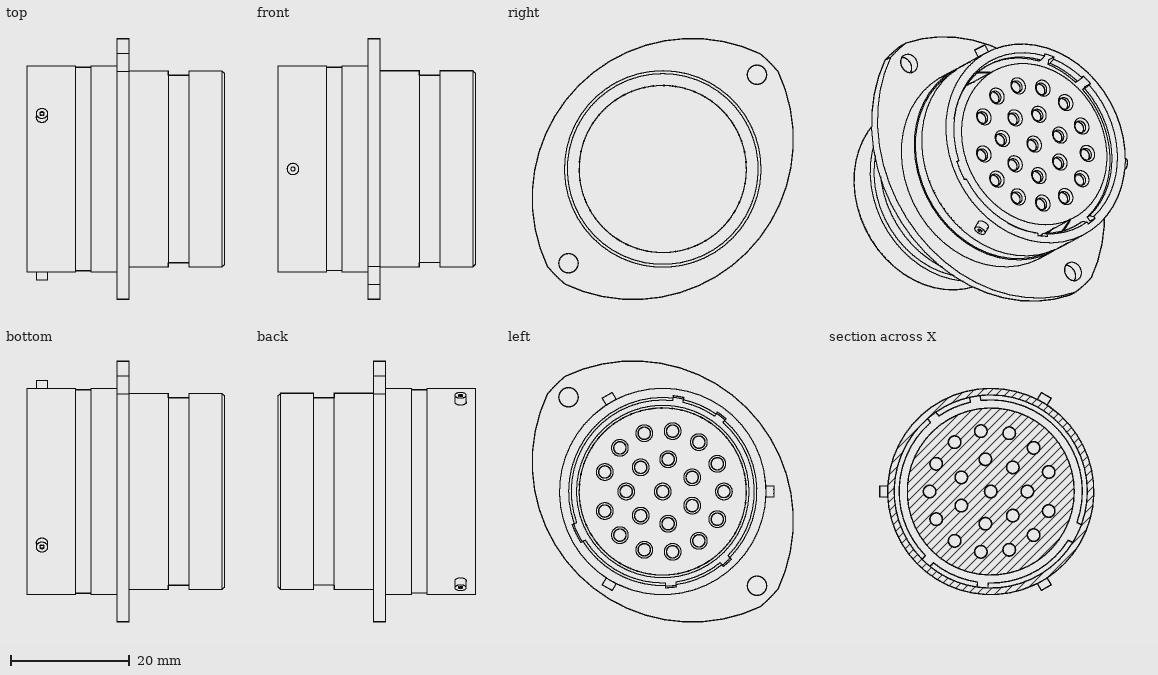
import cadquery as cq
import math

LENGTH = 33.3
BAND_START = 8.25
BAND_END = 10.8
FLANGE_FRONT = 15.2
FLANGE_BACK = 17.2
NECK_START = 23.85
NECK_END = 27.3
REAR_CHAMFER = 0.5

FRONT_RADIUS = 17.4
BAND_RADIUS = 17.15
REAR_RADIUS = 16.55
NECK_RADIUS = 15.8

OVAL_RADIUS = 26.95
OVAL_OFFSET = 4.95
FLANGE_TIP_RADIUS = 25.45
MOUNT_HOLE_RADIUS = 22.45
MOUNT_HOLE_DIAMETER = 3.2
MOUNT_HOLE_ANGLES = (45, 225)

MOUTH_RADIUS = 15.85
LIP_RADIUS = 15.4
MOUTH_TAPER_DEPTH = 1.1
LIP_END = 1.75
CHAMBER_RADIUS = 16.25
CHAMBER_DEPTH = 14.95

KEYWAYS = ((127.8, 1.75), (99.5, 1.75), (-26.0, 3.3), (-94.9, 1.75), (-132.2, 1.75))

SEAL_THICKNESS = 1.75
SEAL_INNER_CHAMFER = 0.45
SEAL_OUTER_CHAMFER = 0.25

INSERT_RADIUS = 14.1
INSERT_RECESS = 0.5
OUTER_CONTACT_COUNT = 13
OUTER_CONTACT_PITCH = 26.9
OUTER_CONTACT_RADIUS = 10.3
INNER_CONTACT_RADIUS = 5.5
INNER_CONTACT_ANGLES = (25.6, 80.5, 132.4)
ODD_CONTACT_RADIUS = 6.15

COUNTERSINK_RADIUS = 1.4
COUNTERSINK_DEPTH = 0.45
CONTACT_BORE_RADIUS = 1.0
CONTACT_BORE_END = 1.15
CONTACT_SOCKET_RADIUS = 1.05
CONTACT_HOLE_DEPTH = 5.3

PIN_ANGLES = (180, 60, -60)
PIN_STATION = 2.55
PIN_RADIUS = 0.95
PIN_SEAT_RADIUS = 16.55
PIN_TIP_RADIUS = 18.7
PIN_HOLE_DIAMETER = 0.7
PIN_HOLE_DEPTH = 0.25


def place_on_axis(radius, angle):
    """(Y, Z) of a point at a radius from the axis; angle runs from +Y towards +Z."""
    turn = math.radians(angle)
    return radius * math.cos(turn), radius * math.sin(turn)


def disc(start, end, radius, centers=((0, 0),)):
    """Cylinders along X between two stations."""
    plane = cq.Workplane("YZ", origin=(start, 0, 0))
    return plane.pushPoints(list(centers)).circle(radius).extrude(end - start)


def revolved(profile):
    """Body of revolution about X from (station, radius) points."""
    return cq.Workplane("XZ").polyline(profile).close().revolve(360, (0, 0, 0), (1, 0, 0))


def shell_outside():
    return revolved([
        (0, 0), (0, FRONT_RADIUS),
        (BAND_START, FRONT_RADIUS), (BAND_START, BAND_RADIUS),
        (BAND_END, BAND_RADIUS), (BAND_END, FRONT_RADIUS),
        (FLANGE_FRONT, FRONT_RADIUS), (FLANGE_FRONT, REAR_RADIUS),
        (NECK_START, REAR_RADIUS), (NECK_START, NECK_RADIUS),
        (NECK_END, NECK_RADIUS), (NECK_END, REAR_RADIUS),
        (LENGTH - REAR_CHAMFER, REAR_RADIUS), (LENGTH, REAR_RADIUS - REAR_CHAMFER),
        (LENGTH, 0),
    ])


def flange():
    upper_arc = [(OVAL_OFFSET, -OVAL_OFFSET)]
    lower_arc = [(-OVAL_OFFSET, OVAL_OFFSET)]
    plate = disc(FLANGE_FRONT, FLANGE_BACK, OVAL_RADIUS, upper_arc)
    plate = plate.intersect(disc(FLANGE_FRONT, FLANGE_BACK, OVAL_RADIUS, lower_arc))
    plate = plate.intersect(disc(FLANGE_FRONT, FLANGE_BACK, FLANGE_TIP_RADIUS))
    holes = [place_on_axis(MOUNT_HOLE_RADIUS, angle) for angle in MOUNT_HOLE_ANGLES]
    return plate.cut(disc(FLANGE_FRONT, FLANGE_BACK, MOUNT_HOLE_DIAMETER / 2, holes))


def shell_cavity():
    return revolved([
        (0, 0), (0, MOUTH_RADIUS),
        (MOUTH_TAPER_DEPTH, LIP_RADIUS), (LIP_END, LIP_RADIUS),
        (LIP_END, CHAMBER_RADIUS), (CHAMBER_DEPTH, CHAMBER_RADIUS),
        (CHAMBER_DEPTH, INSERT_RADIUS), (LENGTH, INSERT_RADIUS),
        (LENGTH, 0),
    ])


def keyway(angle, width):
    bar = cq.Workplane("XY").box(
        LIP_END, CHAMBER_RADIUS, width, centered=(False, False, True)
    )
    bar = bar.rotate((0, 0, 0), (1, 0, 0), angle)
    return bar.intersect(disc(0, LIP_END, CHAMBER_RADIUS))


def pin_blank(angle):
    """Plain radial cylinder filling a pin and its seat."""
    plane = cq.Workplane("XZ", origin=(PIN_STATION, PIN_SEAT_RADIUS, 0))
    blank = plane.circle(PIN_RADIUS).extrude(PIN_SEAT_RADIUS - PIN_TIP_RADIUS)
    return blank.rotate((0, 0, 0), (1, 0, 0), angle)


def make_shell():
    cavity = shell_cavity()
    for angle, width in KEYWAYS:
        cavity = cavity.union(keyway(angle, width))
    shell = shell_outside().union(flange()).cut(cavity)
    for angle in PIN_ANGLES:
        shell = shell.cut(pin_blank(angle))
    return shell


def make_seal_ring():
    front = CHAMBER_DEPTH - SEAL_THICKNESS
    return revolved([
        (CHAMBER_DEPTH, INSERT_RADIUS),
        (front + SEAL_INNER_CHAMFER, INSERT_RADIUS),
        (front, INSERT_RADIUS + SEAL_INNER_CHAMFER),
        (front, CHAMBER_RADIUS - SEAL_OUTER_CHAMFER),
        (front + SEAL_OUTER_CHAMFER, CHAMBER_RADIUS),
        (CHAMBER_DEPTH, CHAMBER_RADIUS),
    ])


def contact_positions():
    positions = [(0, 0), (ODD_CONTACT_RADIUS, 0)]
    for index in range(OUTER_CONTACT_COUNT):
        step = index - OUTER_CONTACT_COUNT // 2
        positions.append(place_on_axis(OUTER_CONTACT_RADIUS, 180 + step * OUTER_CONTACT_PITCH))
    for angle in INNER_CONTACT_ANGLES:
        positions.append(place_on_axis(INNER_CONTACT_RADIUS, 180 - angle))
        positions.append(place_on_axis(INNER_CONTACT_RADIUS, 180 + angle))
    return positions


def contact_hole():
    """Cutter for one blind contact hole, centred on the X axis."""
    return revolved([
        (0, 0), (0, COUNTERSINK_RADIUS),
        (COUNTERSINK_DEPTH, CONTACT_BORE_RADIUS), (CONTACT_BORE_END, CONTACT_BORE_RADIUS),
        (CONTACT_BORE_END, CONTACT_SOCKET_RADIUS), (CONTACT_HOLE_DEPTH, CONTACT_SOCKET_RADIUS),
        (CONTACT_HOLE_DEPTH, 0),
    ])


def make_insert():
    insert = disc(INSERT_RECESS, LENGTH, INSERT_RADIUS)
    hole = contact_hole()
    for y, z in contact_positions():
        insert = insert.cut(hole.translate((INSERT_RECESS, y, z)))
    return insert


def make_pin(angle):
    plane = cq.Workplane("XZ", origin=(PIN_STATION, PIN_TIP_RADIUS, 0))
    tip_hole = plane.circle(PIN_HOLE_DIAMETER / 2).extrude(PIN_HOLE_DEPTH)
    return pin_blank(angle).cut(tip_hole.rotate((0, 0, 0), (1, 0, 0), angle))


shell = make_shell()
seal_ring = make_seal_ring()
insert = make_insert()
pins = [make_pin(angle) for angle in PIN_ANGLES]

result = cq.Compound.makeCompound(
    [shell.val(), seal_ring.val(), insert.val()] + [pin.val() for pin in pins]
)